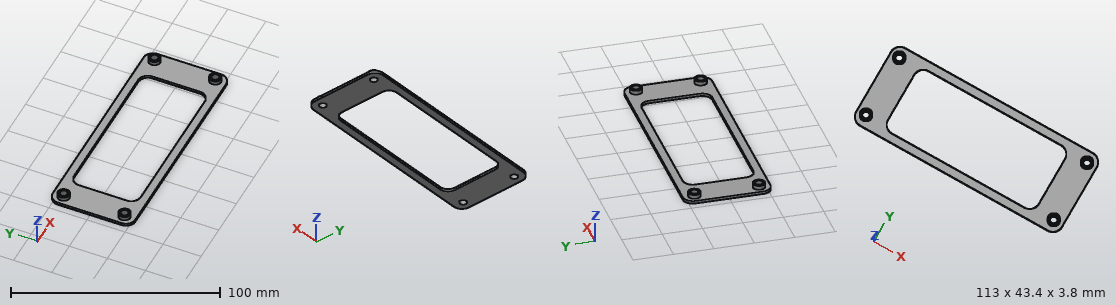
import cadquery as cq

plate_length = 113.0
plate_width = 43.4
plate_thickness = 1.5
plate_corner_radius = 5.0

window_length = 82.7
window_width = 35.0
window_corner_radius = 5.0

total_height = 3.8
boss_height = total_height - plate_thickness
boss_spacing_x = 103.0
boss_spacing_y = 32.0
boss_diameter = 6.1
boss_rim_chamfer = 0.3
bore_diameter = 3.7
bore_mouth_diameter = 4.2
bore_mouth_chamfer = (bore_mouth_diameter - bore_diameter) / 2


def rounded_block(length, width, corner_radius):
    """Block of plate thickness standing on Z = 0, with rounded vertical edges."""
    block = cq.Workplane("XY").box(length, width, plate_thickness, centered=(True, True, False))
    return block.edges("|Z").fillet(corner_radius)


def at_boss_centres(height):
    """Workplane at the given height with a point on each boss axis."""
    return cq.Workplane("XY").workplane(offset=height).rarray(boss_spacing_x, boss_spacing_y, 2, 2)


plate = rounded_block(plate_length, plate_width, plate_corner_radius)
window = rounded_block(window_length, window_width, window_corner_radius)
frame = plate.cut(window)

bosses = at_boss_centres(plate_thickness).circle(boss_diameter / 2).extrude(boss_height)
bosses = bosses.faces(">Z").edges().chamfer(boss_rim_chamfer)

bores = at_boss_centres(0).circle(bore_diameter / 2).extrude(total_height)
body = frame.union(bosses).cut(bores)

bore_mouths = body.faces(">Z").edges(cq.selectors.RadiusNthSelector(0))
result = bore_mouths.chamfer(bore_mouth_chamfer)